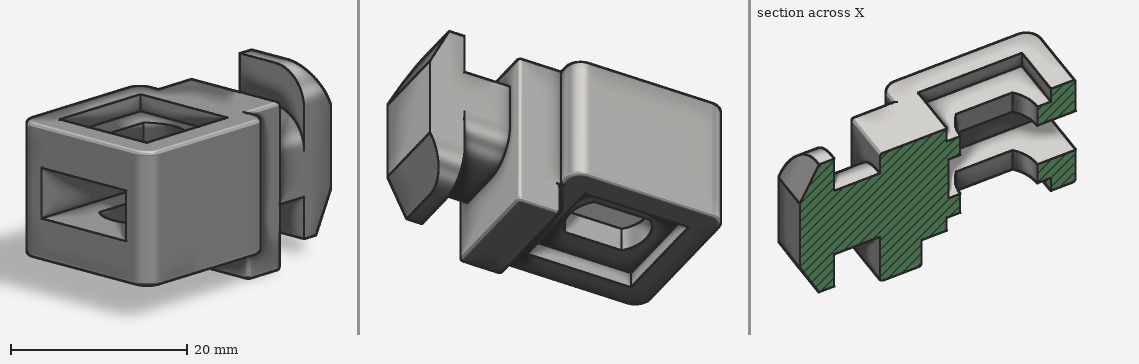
import cadquery as cq

body_width = 20.0
body_depth = 20.0
body_height = 16.0
body_corner_radius = 2.0

plate_width = 14.0
plate_thickness = 5.5
plate_drop = 4.0
edge_radius = 0.5

recess_side = 13.5
recess_depth = 2.0
hole_diameter = 10.0
hole_flat_width = 6.8

slot_width = 13.1
slot_height = 6.0
slot_depth = 16.5

stem_side = 10.0
stem_length = 5.9
head_height = 20.0
head_thickness = 4.5
head_rim = 2.0
head_taper_height = 5.0
twist_radius = 4.5

mid_y = body_depth / 2
mid_z = body_height / 2
plate_back = body_depth + plate_thickness
head_start = plate_back + stem_length
head_end = head_start + head_thickness


def block(width, depth, height, y_start, z_start):
    """Box centred on X, growing from y_start and z_start."""
    box = cq.Workplane("XY").box(width, depth, height, centered=(True, False, False))
    return box.translate((0, y_start, z_start))


def make_housing():
    """Rounded body and rounded plate, joined into one flush top face."""
    body = block(body_width, body_depth, body_height, 0, 0)
    body = body.edges("|Z").fillet(body_corner_radius)
    body = body.faces("<Z or >Z").edges().fillet(edge_radius)

    plate = block(plate_width, plate_thickness, body_height + plate_drop, body_depth, -plate_drop)
    plate = plate.edges().fillet(edge_radius)

    bridge = block(plate_width, 2 * edge_radius, body_height, body_depth - edge_radius, 0)
    bridge = bridge.edges("|Y and >Z").fillet(edge_radius)
    return body.union(plate).union(bridge)


def twist_bar(height, y_start, length):
    """Bar along Y, rounded on the two opposite corners that lead when it is turned."""
    bar = block(stem_side, length, height, y_start, mid_z - height / 2)
    bar = bar.edges("|Y and >X and >Z").fillet(twist_radius)
    return bar.edges("|Y and <X and <Z").fillet(twist_radius)


def make_head():
    """Rounded bar trimmed to a taper at the top and bottom of its far end."""
    half_height = head_height / 2
    half_tip = half_height - head_taper_height
    profile = (
        cq.Workplane("YZ")
        .polyline([
            (head_start, mid_z - half_height),
            (head_start + head_rim, mid_z - half_height),
            (head_end, mid_z - half_tip),
            (head_end, mid_z + half_tip),
            (head_start + head_rim, mid_z + half_height),
            (head_start, mid_z + half_height),
        ])
        .close()
        .extrude(stem_side / 2, both=True)
    )
    return twist_bar(head_height, head_start, head_thickness).intersect(profile)


def make_hole():
    """Round hole along Z with flats on both X sides."""
    cylinder = cq.Workplane("XY").center(0, mid_y).circle(hole_diameter / 2).extrude(body_height)
    flats = block(hole_flat_width, body_depth, body_height, 0, 0)
    return cylinder.intersect(flats)


recess_front = mid_y - recess_side / 2
top_recess = block(recess_side, recess_side, recess_depth, recess_front, body_height - recess_depth)
bottom_recess = block(recess_side, recess_side, recess_depth, recess_front, 0)
slot = block(slot_width, slot_depth, slot_height, 0, mid_z - slot_height / 2)

result = (
    make_housing()
    .union(twist_bar(stem_side, plate_back, stem_length))
    .union(make_head())
    .cut(top_recess)
    .cut(bottom_recess)
    .cut(make_hole())
    .cut(slot)
    .clean()
)